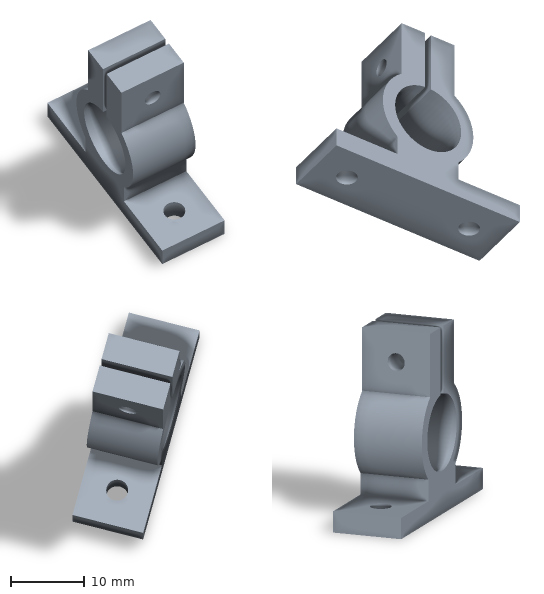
import cadquery as cq

base_length = 30.0
width = 10.0
total_height = 26.43
base_thickness = 3.0
mount_hole_diameter = 3.0
mount_hole_spacing = 20.0

bore_diameter = 10.8
ring_wall = 2.0
ring_center_z = 11.5
pedestal_length = 10.0

ear_span = 8.66
slit_width = 0.95
screw_hole_diameter = 2.5
screw_hole_drop = 4.45

bore_radius = bore_diameter / 2
ring_radius = bore_radius + ring_wall
screw_hole_z = total_height - screw_hole_drop


def block(length, bottom_z, top_z):
    """Full-width block centered on the Z axis."""
    height = top_z - bottom_z
    return (
        cq.Workplane("XY")
        .workplane(offset=bottom_z)
        .box(length, width, height, centered=(True, True, False))
    )


def cylinder_along_y(radius):
    """Full-width cylinder on the ring axis."""
    return (
        cq.Workplane("XZ")
        .center(0, ring_center_z)
        .circle(radius)
        .extrude(width / 2, both=True)
    )


def mount_holes():
    """Vertical holes through both ends of the base plate."""
    return (
        cq.Workplane("XY")
        .pushPoints([(-mount_hole_spacing / 2, 0), (mount_hole_spacing / 2, 0)])
        .circle(mount_hole_diameter / 2)
        .extrude(base_thickness)
    )


def screw_hole():
    """Clamping screw hole through both ears, along X."""
    return (
        cq.Workplane("YZ")
        .center(0, screw_hole_z)
        .circle(screw_hole_diameter / 2)
        .extrude(ear_span / 2, both=True)
    )


body = block(base_length, 0, base_thickness)
body = body.union(block(pedestal_length, 0, ring_center_z))
body = body.union(cylinder_along_y(ring_radius))
body = body.union(block(ear_span, ring_center_z, total_height))

body = body.cut(cylinder_along_y(bore_radius))
body = body.cut(block(slit_width, ring_center_z, total_height))
body = body.cut(mount_holes())
body = body.cut(screw_hole())

result = body